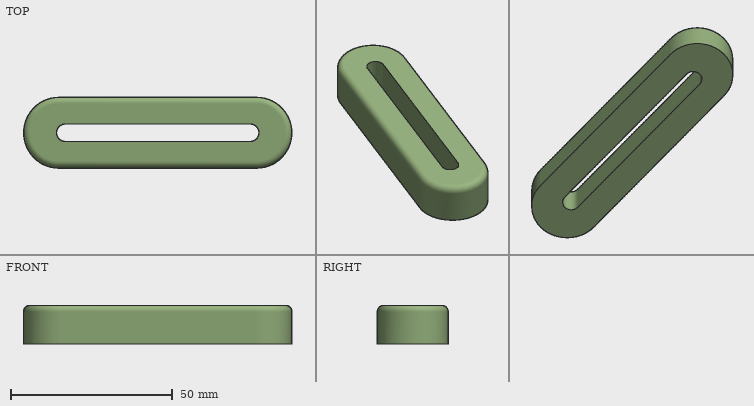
import cadquery as cq

length = 83.0
width = 22.0
height = 12.0
top_edge_radius = 2.0

slot_length = 62.5
slot_width = 5.3

bar = cq.Workplane("XY").slot2D(length, width).extrude(height)

bar = bar.faces(">Z").edges().fillet(top_edge_radius)

slot = cq.Workplane("XY").slot2D(slot_length, slot_width).extrude(height)

result = bar.cut(slot)